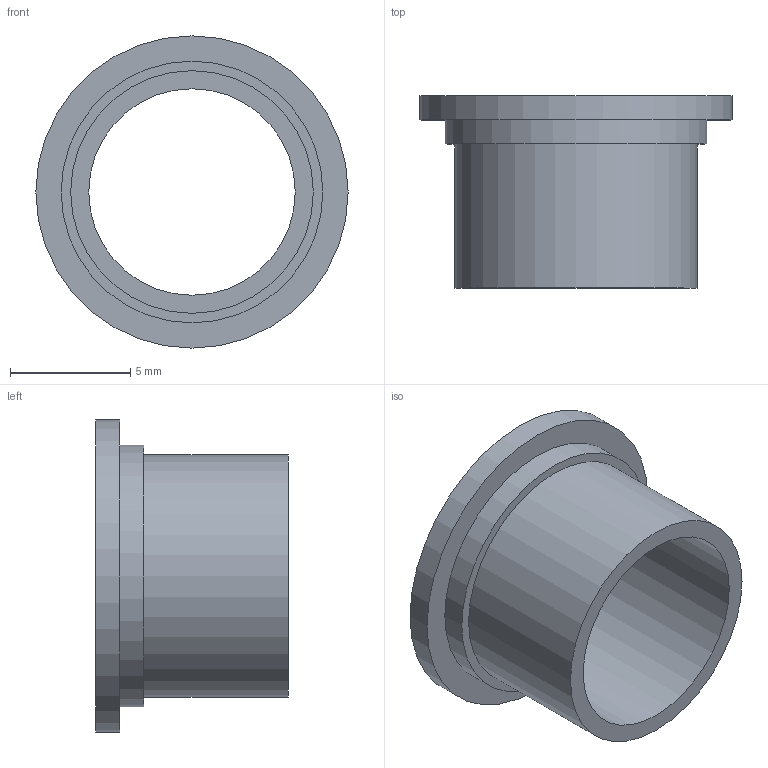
import cadquery as cq

flange_diameter = 13.0
shoulder_diameter = 10.9
sleeve_diameter = 10.1
bore_diameter = 8.6

flange_thickness = 1.0
shoulder_thickness = 1.0
overall_length = 8.0


def disc(diameter, length):
    """Cylinder along the Y axis, from the flange's outer face at Y = 0 toward -Y."""
    return cq.Workplane("XZ").circle(diameter / 2).extrude(length)


flange = disc(flange_diameter, flange_thickness)
shoulder = disc(shoulder_diameter, flange_thickness + shoulder_thickness)
sleeve = disc(sleeve_diameter, overall_length)
bore = disc(bore_diameter, overall_length)

result = flange.union(shoulder).union(sleeve).cut(bore)